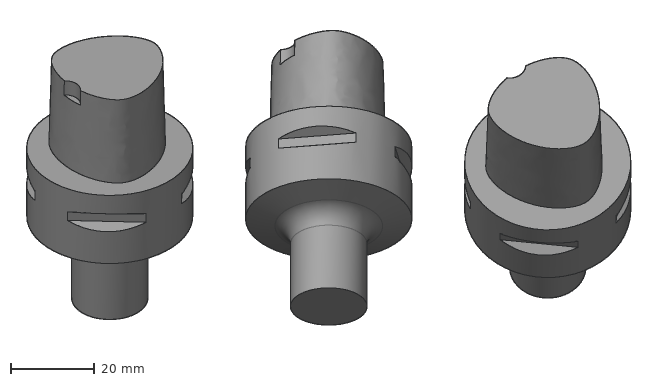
import cadquery as cq
import math

total_height = 68.0
taper_height = 24.0
flange_height = 20.0
flange_top = total_height - taper_height
flange_bottom = flange_top - flange_height

flange_radius = 20.0
shank_radius = 18.4 / 2
neck_cone_angle = math.radians(15.0)
neck_blend_radius = 5.0

polygon_base_radius = 14.0
polygon_taper_ratio = 1 / 40
polygon_top_radius = polygon_base_radius - taper_height * polygon_taper_ratio
lobe_eccentricity = 1.0

groove_count = 4
groove_floor_distance = 17.6
groove_floor_height = 2.5
groove_side_angle = math.radians(30.0)
groove_center_z = flange_top - 8.0

notch_radius = 3.8
notch_deepest_y = -10.95
notch_depth = 4.15


def make_round_body():
    """Revolve the shank, the blended conical neck and the flange."""
    cone_end_z = flange_bottom - (flange_radius - shank_radius) * math.tan(neck_cone_angle)
    tangent_length = neck_blend_radius * math.tan((math.pi / 2 - neck_cone_angle) / 2)
    blend_bottom_z = cone_end_z - tangent_length
    arc_center_r = shank_radius + neck_blend_radius

    def blend_point(angle):
        return (
            arc_center_r + neck_blend_radius * math.cos(angle),
            blend_bottom_z + neck_blend_radius * math.sin(angle),
        )

    arc_start_angle = math.pi / 2 + neck_cone_angle
    mid_angle = (arc_start_angle + math.pi) / 2
    return (
        cq.Workplane("XZ")
        .moveTo(0, 0)
        .lineTo(shank_radius, 0)
        .lineTo(shank_radius, blend_bottom_z)
        .threePointArc(blend_point(mid_angle), blend_point(arc_start_angle))
        .lineTo(flange_radius, flange_bottom)
        .lineTo(flange_radius, flange_top)
        .lineTo(0, flange_top)
        .close()
        .revolve(360, (0, 0), (0, 1))
    )


def polygon_point(mean_radius, turn):
    """Point on the constant-width three-lobed curve; turn runs from 0 to 1."""
    angle = 2 * math.pi * turn
    along_lobe = (
        mean_radius * math.cos(angle)
        + 2 * lobe_eccentricity * math.cos(2 * angle)
        - lobe_eccentricity * math.cos(4 * angle)
    )
    across_lobe = (
        mean_radius * math.sin(angle)
        - 2 * lobe_eccentricity * math.sin(2 * angle)
        - lobe_eccentricity * math.sin(4 * angle)
    )
    return (-across_lobe, along_lobe)


def make_polygon_taper():
    """Loft between the larger base curve and the smaller top curve."""
    curve_points = 48

    def outline(mean_radius):
        return [polygon_point(mean_radius, i / curve_points) for i in range(curve_points)]

    return (
        cq.Workplane("XY", origin=(0, 0, flange_top))
        .spline(outline(polygon_base_radius), periodic=True)
        .close()
        .workplane(offset=taper_height)
        .spline(outline(polygon_top_radius), periodic=True)
        .close()
        .loft(ruled=True, combine=True)
    )


def make_groove_cutter():
    """Straight trapezoidal cutter with its floor facing +X."""
    cutter_outer = flange_radius + 0.7
    half_floor = groove_floor_height / 2
    half_mouth = half_floor + (cutter_outer - groove_floor_distance) * math.tan(groove_side_angle)
    return (
        cq.Workplane("XZ")
        .polyline(
            [
                (groove_floor_distance, groove_center_z - half_floor),
                (cutter_outer, groove_center_z - half_mouth),
                (cutter_outer, groove_center_z + half_mouth),
                (groove_floor_distance, groove_center_z + half_floor),
            ]
        )
        .close()
        .extrude(flange_radius, both=True)
    )


def make_notch_cutter():
    """Vertical cylinder that cuts down from the top face."""
    return (
        cq.Workplane("XY", origin=(0, notch_deepest_y - notch_radius, total_height))
        .circle(notch_radius)
        .extrude(-notch_depth)
    )


result = make_round_body().union(make_polygon_taper())
groove_cutter = make_groove_cutter()
groove_spacing = 360 / groove_count
for index in range(groove_count):
    groove_angle = groove_spacing * (index + 0.5)
    result = result.cut(groove_cutter.rotate((0, 0, 0), (0, 0, 1), groove_angle))
result = result.cut(make_notch_cutter())